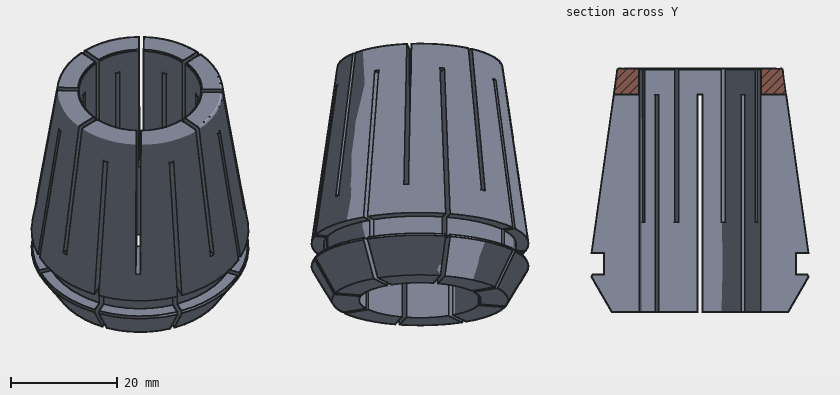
import cadquery as cq
import math

height = 46.0
max_diameter = 41.0
bore_diameter = 23.0

body_angle = 8.0
nose_angle = 30.0

groove_bottom = 7.15
groove_top = 11.15
groove_diameter = 36.25
nose_edge_height = 6.65
nose_edge_inset = 0.25

rim_fillet = 0.45
bore_chamfer = 0.25

slots_per_end = 8
slot_width = 0.87
low_slot_top = 41.05
high_slot_bottom = 17.0

max_radius = max_diameter / 2
groove_radius = groove_diameter / 2
slot_pitch = 360.0 / slots_per_end
nose_radius = max_radius - nose_edge_height * math.tan(math.radians(nose_angle))
top_radius = max_radius - (height - groove_top) * math.tan(math.radians(body_angle))


def turned_body():
    """Solid of revolution with both cones, the groove, the rounded top rim and the bore."""
    profile = [
        (0, 0),
        (nose_radius, 0),
        (max_radius, nose_edge_height),
        (max_radius - nose_edge_inset, groove_bottom),
        (groove_radius, groove_bottom),
        (groove_radius, groove_top),
        (max_radius, groove_top),
        (top_radius, height),
        (0, height),
    ]
    body = cq.Workplane("XZ").polyline(profile).close().revolve(360, (0, 0), (0, 1))
    body = body.faces(">Z").edges().fillet(rim_fillet)
    return body.faces("<Z").workplane(origin=(0, 0, 0)).hole(bore_diameter)


def chamfer_bore(body):
    """Break the bore edge at the upper end."""
    bore_edge = cq.selectors.RadiusNthSelector(0)
    return body.faces(">Z").edges(bore_edge).chamfer(bore_chamfer)


def cut_slots(body, first_angle, bottom, top):
    """Cut evenly spaced radial slots through the wall between two heights.

    Each cutter reaches past both sides of the body, so it makes two opposite slots.
    """
    cutter_length = 2 * max_diameter
    slot = (
        cq.Workplane("XY", origin=(0, 0, bottom))
        .rect(cutter_length, slot_width)
        .extrude(top - bottom)
    )
    for index in range(slots_per_end // 2):
        body = body.cut(slot.rotate((0, 0, 0), (0, 0, 1), first_angle + index * slot_pitch))
    return body


collet = chamfer_bore(turned_body())
collet = cut_slots(collet, 0, 0, low_slot_top)
result = cut_slots(collet, slot_pitch / 2, high_slot_bottom, height)